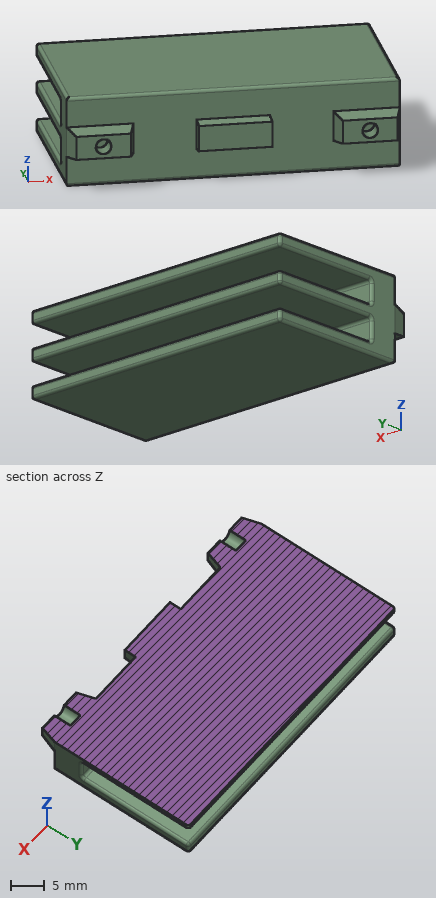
import cadquery as cq

length = 50.0
body_depth = 25.0
wall = 5.0
fin_thickness = 2.1
fin_pitch = 5.9
fin_count = 3
edge_radius = 0.5
slot_corner_radius = 0.5
height = (fin_count - 1) * fin_pitch + fin_thickness
slot_height = fin_pitch - fin_thickness

lug_length = 10.0
lug_height = 4.6
lug_depth = 3.0
lug_z = 0.05
lug_end_inset = 0.9
lug_side_inset = 0.5
lug_x = (length - lug_length) / 2

hole_diameter = 2.3
hole_depth = lug_depth

bar_length = 11.0
bar_depth = 2.0
bar_side_inset = lug_side_inset * bar_depth / lug_depth


def finned_body():
    """Comb-shaped extrusion with rounded edges; the mounting face keeps sharp ends."""
    body = cq.Workplane("XY").box(length, body_depth, height, centered=(True, False, True))
    for i in range(fin_count - 1):
        slot_z = (i - (fin_count - 2) / 2) * fin_pitch
        slot = (
            cq.Workplane("XY")
            .box(length, body_depth - wall, slot_height, centered=(True, False, True))
            .translate((0, wall, slot_z))
            .faces("<Y")
            .edges("|X")
            .fillet(slot_corner_radius)
        )
        body = body.cut(slot)

    end_edges = body.faces("<X or >X").edges("not (<Y and |Z)")
    fin_tip_edges = body.faces(">Y").edges("|X")
    mounting_face_edges = body.faces("<Y").edges("|X")
    rounded_edges = end_edges.add(fin_tip_edges).add(mounting_face_edges)
    return rounded_edges.fillet(edge_radius)


def tapered_block(block_length, depth, end_inset, side_inset):
    """Block standing on the mounting face and narrowing towards -Y."""
    return (
        cq.Workplane("XZ")
        .rect(block_length, lug_height)
        .workplane(offset=depth)
        .rect(block_length - 2 * end_inset, lug_height - 2 * side_inset)
        .loft(ruled=True)
    )


def lug():
    block = tapered_block(lug_length, lug_depth, lug_end_inset, lug_side_inset)
    return block.faces("<Y").workplane().hole(hole_diameter, hole_depth)


result = finned_body()
for side in (-1, 1):
    result = result.union(lug().translate((side * lug_x, 0, lug_z)))
result = result.union(tapered_block(bar_length, bar_depth, 0, bar_side_inset).translate((0, 0, lug_z)))